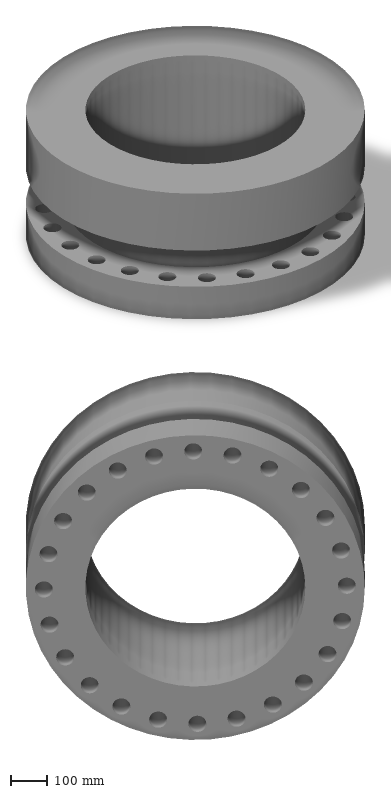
import cadquery as cq

outer_diameter = 940.0
total_height = 400.0

bore_diameter = 610.0
neck_diameter = 720.0

flange_thickness = 103.0
neck_height = 53.0
rim_height = 181.0

bolt_hole_count = 24
bolt_hole_diameter = 50.0
bolt_circle_diameter = 840.0

outer_radius = outer_diameter / 2
bore_radius = bore_diameter / 2
neck_radius = neck_diameter / 2
neck_top = flange_thickness + neck_height
rim_bottom = total_height - rim_height


def ring_body():
    """Flange, neck, conical flare and rim, revolved around Z with an open bore."""
    half_section = (
        cq.Workplane("XZ")
        .moveTo(bore_radius, 0)
        .lineTo(outer_radius, 0)
        .lineTo(outer_radius, flange_thickness)
        .lineTo(neck_radius, flange_thickness)
        .lineTo(neck_radius, neck_top)
        .lineTo(outer_radius, rim_bottom)
        .lineTo(outer_radius, total_height)
        .lineTo(bore_radius, total_height)
        .close()
    )
    return half_section.revolve(360, (0, 0, 0), (0, 1, 0))


def bolt_holes():
    """Cylinders through the flange thickness, evenly spaced on the bolt circle."""
    return (
        cq.Workplane("XY")
        .polarArray(bolt_circle_diameter / 2, 0, 360, bolt_hole_count)
        .circle(bolt_hole_diameter / 2)
        .extrude(flange_thickness)
    )


result = ring_body().cut(bolt_holes())